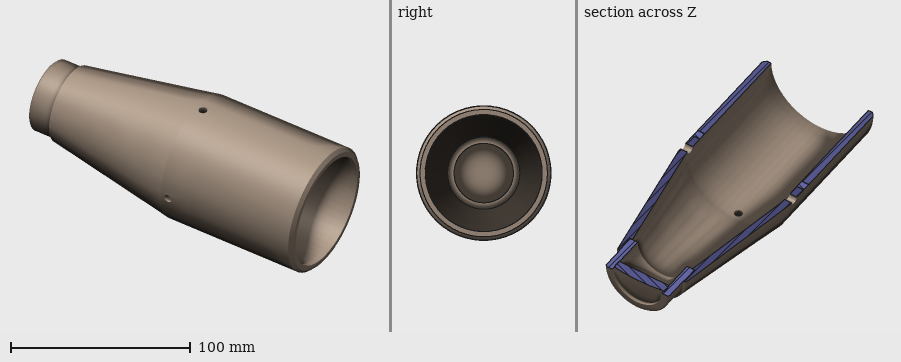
import cadquery as cq
import math

length = 181.8
outer_radius = 37.5

nose_end = 14.5
cone_end = 96.5
spacer_start = 111.0
spacer_end = 115.8

nose_radius = 21.5
nose_chamfer = 1.0
spigot_radius = 22.0
spigot_length = 11.0
spigot_end = nose_end + spigot_length
lens_radius = 16.5
lens_recess = 2.0
lens_thickness = 5.5
lens_sphere_radius = 118.2

cone_small_radius = 23.1
barrel_chamfer = 2.0
wall = 5.0
bore_radius = outer_radius - wall

screw_hole_diameter = 5.0
screw_hole_x = 101.1


def revolve_about_x(profile):
    """Turn a closed profile in the XY plane about the X axis."""
    return profile.close().revolve(360, (0, 0, 0), (1, 0, 0))


def tube(start, end, outer, inner):
    """Plain ring along X."""
    return (
        cq.Workplane("YZ", origin=(start, 0, 0))
        .circle(outer)
        .circle(inner)
        .extrude(end - start)
    )


def make_nose():
    """Nose tube with a chamfered front rim, and a wider spigot that sits in the cone housing."""
    front = tube(0, nose_end, nose_radius, lens_radius)
    front_rim = cq.selectors.RadiusNthSelector(-1)
    front = front.faces("<X").edges(front_rim).chamfer(nose_chamfer)
    spigot = tube(nose_end, spigot_end, spigot_radius, lens_radius)
    return front.union(spigot)


def make_lens():
    """Convex front lens, held just inside the nose."""
    sagitta = lens_sphere_radius - math.sqrt(lens_sphere_radius**2 - lens_radius**2)
    back = lens_recess + lens_thickness
    profile = (
        cq.Workplane("XY")
        .moveTo(back, 0)
        .lineTo(back, lens_radius)
        .lineTo(lens_recess, lens_radius)
        .radiusArc((lens_recess - sagitta, 0), -lens_sphere_radius)
    )
    return revolve_about_x(profile)


def make_cone_housing():
    """Hollow cone with a socket for the nose and a collar drilled across for four set screws."""
    cone_slope = (outer_radius - cone_small_radius) / (cone_end - nose_end)
    socket_floor_radius = cone_small_radius - wall + cone_slope * spigot_length
    profile = (
        cq.Workplane("XY")
        .moveTo(nose_end, spigot_radius)
        .lineTo(nose_end, cone_small_radius)
        .lineTo(cone_end, outer_radius)
        .lineTo(spacer_start, outer_radius)
        .lineTo(spacer_start, bore_radius)
        .lineTo(cone_end, bore_radius)
        .lineTo(spigot_end, socket_floor_radius)
        .lineTo(spigot_end, spigot_radius)
    )
    body = revolve_about_x(profile)
    for plane in ("XY", "XZ"):
        drill = (
            cq.Workplane(plane)
            .center(screw_hole_x, 0)
            .circle(screw_hole_diameter / 2)
            .extrude(outer_radius, both=True)
        )
        body = body.cut(drill)
    return body


def make_spacer():
    """Flush ring between the cone housing and the barrel."""
    return tube(spacer_start, spacer_end, outer_radius, bore_radius)


def make_barrel():
    """Rear barrel with a chamfered end."""
    body = tube(spacer_end, length, outer_radius, bore_radius)
    rear_rim = cq.selectors.RadiusNthSelector(-1)
    return body.faces(">X").edges(rear_rim).chamfer(barrel_chamfer)


nose = make_nose()
lens = make_lens()
cone_housing = make_cone_housing()
spacer = make_spacer()
barrel = make_barrel()

result = cq.Compound.makeCompound(
    [nose.val(), lens.val(), cone_housing.val(), spacer.val(), barrel.val()]
)